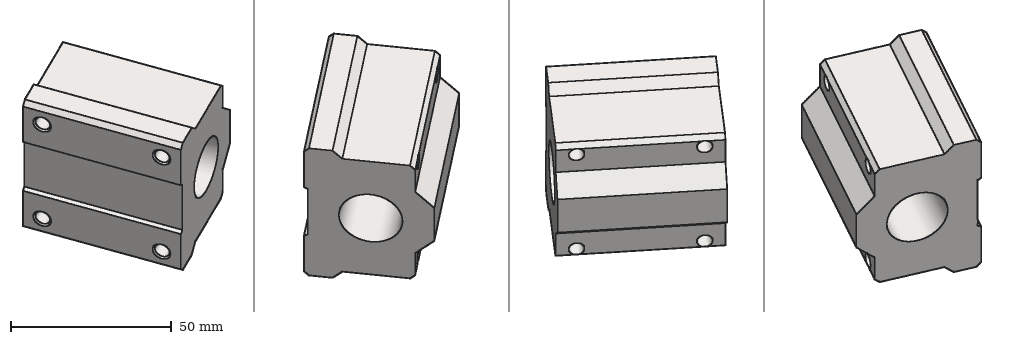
import cadquery as cq

length = 53.0
depth = 41.0
height = 54.0

bore_diameter = 20.0
bore_to_front = 21.0
flange_top_depth = 9.0
flange_root_depth = 12.1
flange_step = 3.0
back_face_depth = 35.0
corner_chamfer = 1.6
nose_width = 14.05
recess_depth = 1.2
recess_floor_width = 19.2
recess_mouth_width = 20.75

hole_diameter = 4.9
countersink_diameter = 6.0
hole_spacing = 40.0

front_y = -bore_to_front
back_y = front_y + back_face_depth
nose_y = front_y + depth
flange_half = height / 2
body_half = flange_half - flange_step
nose_half = nose_width / 2
nose_root_half = nose_half + nose_y - back_y


def make_body():
    """Extrude the symmetric housing profile along X."""
    upper_half = [
        (front_y + recess_depth, recess_floor_width / 2),
        (front_y, recess_mouth_width / 2),
        (front_y, flange_half - corner_chamfer),
        (front_y + corner_chamfer, flange_half),
        (front_y + flange_top_depth, flange_half),
        (front_y + flange_root_depth, body_half),
        (back_y - corner_chamfer, body_half),
        (back_y, body_half - corner_chamfer),
        (back_y, nose_root_half),
        (nose_y, nose_half),
    ]
    lower_half = [(y, -z) for y, z in reversed(upper_half)]
    profile = cq.Workplane("YZ").polyline(upper_half + lower_half).close()
    return profile.extrude(length / 2, both=True)


def make_bore():
    return cq.Workplane("YZ").circle(bore_diameter / 2).extrude(length / 2, both=True)


def make_hole_cutter(x, z):
    """Through hole along Y with a 45-degree countersink at the front."""
    hole_radius = hole_diameter / 2
    rim_radius = countersink_diameter / 2
    sink_depth = rim_radius - hole_radius
    half_section = [
        (0, front_y),
        (rim_radius, front_y),
        (hole_radius, front_y + sink_depth),
        (hole_radius, back_y),
        (0, back_y),
    ]
    cutter = cq.Workplane("XY").polyline(half_section).close().revolve(360, (0, 0), (0, 1))
    return cutter.translate((x, 0, z))


result = make_body().cut(make_bore())
for x in (-hole_spacing / 2, hole_spacing / 2):
    for z in (-hole_spacing / 2, hole_spacing / 2):
        result = result.cut(make_hole_cutter(x, z))